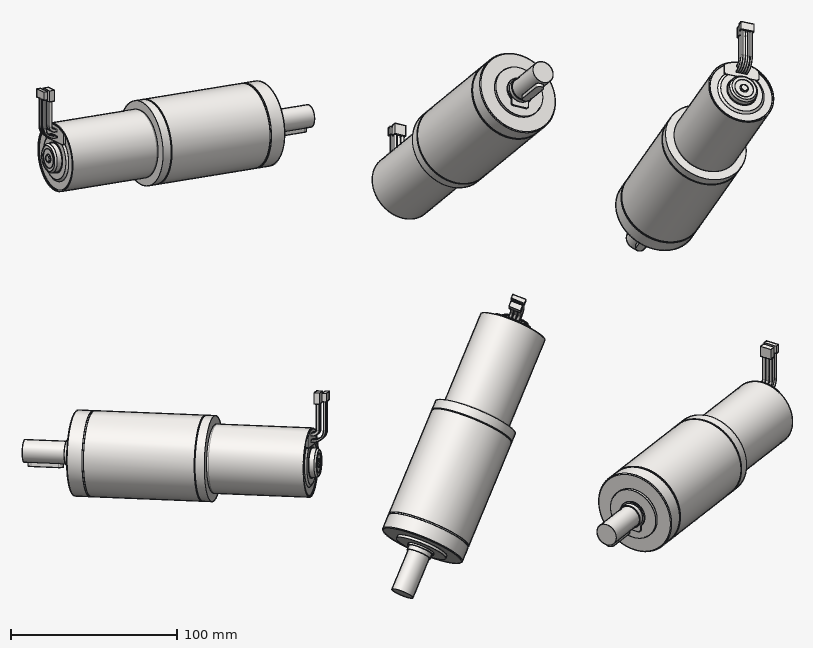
import cadquery as cq

OVERALL_LENGTH = 187.2

GEARHEAD_RADIUS = 26.0
GEARHEAD_LENGTH = 85.2
GEARHEAD_CHAMFER = 0.5
GROOVE_DEPTH = 0.2
FRONT_GROOVE_CENTRE = 75.0
REAR_GROOVE_CENTRE = 6.0
FRONT_GROOVE_WIDTH = 1.0
REAR_GROOVE_WIDTH = 0.5
BOSS_RADIUS = 16.1
BOSS_HEIGHT = 1.7
BOSS_END = GEARHEAD_LENGTH + BOSS_HEIGHT

COLLAR_RADIUS = 7.5
COLLAR_END = BOSS_END + 4.0
SHAFT_RADIUS = 7.0
SHAFT_END = 116.8
CLIP_RADIUS = 8.5
CLIP_THICKNESS = 1.1
CLIP_LUG_WIDTH = 11.6
CLIP_LUG_REACH = 10.5
CLIP_LUG_CORNER = 1.5

KEY_WIDTH = 5.0
KEY_HEIGHT = 5.0
KEY_LENGTH = 21.9
KEY_SETBACK = 2.0
KEY_OUTER_FACE = -9.0
KEY_CENTRE = SHAFT_END - KEY_SETBACK - KEY_LENGTH / 2

MOTOR_RADIUS = 21.0
MOTOR_LENGTH = 59.9
MOTOR_REAR = -MOTOR_LENGTH
MOTOR_FRONT_FILLET = 1.3
RECESS_RADIUS = 20.0
RECESS_DEPTH = 0.5
RECESS_FLOOR = MOTOR_REAR + RECESS_DEPTH

CONE_BASE_RADIUS = 15.0
CONE_TOP_RADIUS = 13.5
CONE_HEIGHT = 0.5
HUB_STEP_RADIUS = 9.5
HUB_STEP_HEIGHT = 0.2
HUB_RADIUS = 9.0
HUB_HEIGHT = 5.0
HUB_CHAMFER = 1.1
HUB_RECESS_RADIUS = 6.0
HUB_RECESS_DEPTH = 0.4
STUB_RADIUS = 2.6
STUB_CHAMFER = 0.5
STUB_PROTRUSION = 0.5

PAD_WIDTH = 22.0
PAD_BOTTOM = 10.3
PAD_CORNER = 1.0
PAD_RADIUS = 20.5
PAD_STANDOUT = 0.7
PAD_FACE = MOTOR_REAR - PAD_STANDOUT
PAD_THICKNESS = RECESS_FLOOR - PAD_FACE

BEND_TOP = 20.4
PLUG_TOP = 43.5
INNER_WIRE_COUNT = 3
INNER_WIRE_DIAMETER = 1.9
INNER_WIRE_PITCH = 2.5
INNER_ROW_Y = -64.5
INNER_BEND_RADIUS = 2.8
INNER_PLUG_WIDTH = 7.5
INNER_PLUG_DEPTH = 3.5
INNER_PLUG_HEIGHT = 7.0
INNER_PLUG_Y = -64.4
OUTER_WIRE_COUNT = 5
OUTER_WIRE_DIAMETER = 1.3
OUTER_WIRE_PITCH = 1.5
OUTER_ROW_Y = -68.9
OUTER_BEND_RADIUS = 6.7
OUTER_PLUG_WIDTH = 8.6
OUTER_PLUG_DEPTH = 2.6
OUTER_PLUG_HEIGHT = 5.2
OUTER_PLUG_Y = SHAFT_END - OVERALL_LENGTH + OUTER_PLUG_DEPTH / 2


def cylinder(radius, y_start, y_end):
    """Cylinder on the Y axis between two Y positions."""
    start_plane = cq.Workplane("XZ", origin=(0, y_start, 0))
    return start_plane.circle(radius).extrude(y_start - y_end)


def ring_groove(y_centre, width):
    """Ring of material to cut from the gearhead surface."""
    y_start = y_centre - width / 2
    y_end = y_centre + width / 2
    outside = cylinder(GEARHEAD_RADIUS + 1.9, y_start, y_end)
    return outside.cut(cylinder(GEARHEAD_RADIUS - GROOVE_DEPTH, y_start, y_end))


def make_clip():
    """Retaining clip: a disc with a wide rounded lug below it."""
    clip_end = BOSS_END + CLIP_THICKNESS
    disc = cylinder(CLIP_RADIUS, BOSS_END, clip_end)
    lug = (
        cq.Workplane("XY")
        .box(CLIP_LUG_WIDTH, CLIP_THICKNESS, CLIP_LUG_REACH, centered=(True, False, False))
        .translate((0, BOSS_END, -CLIP_LUG_REACH))
        .edges("|Y and <Z")
        .fillet(CLIP_LUG_CORNER)
    )
    return disc.union(lug)


def make_key():
    """Feather key with round ends, also used to cut its own seat."""
    key_plane = cq.Workplane("XY", origin=(0, KEY_CENTRE, KEY_OUTER_FACE))
    return key_plane.slot2D(KEY_LENGTH, KEY_WIDTH, 90).extrude(KEY_HEIGHT)


def make_gearhead():
    """Gearhead housing with boss, clip and keyed output shaft."""
    housing = cylinder(GEARHEAD_RADIUS, 0, GEARHEAD_LENGTH).faces(">Y").chamfer(GEARHEAD_CHAMFER)
    housing = housing.cut(ring_groove(FRONT_GROOVE_CENTRE, FRONT_GROOVE_WIDTH))
    housing = housing.cut(ring_groove(REAR_GROOVE_CENTRE, REAR_GROOVE_WIDTH))
    boss = cylinder(BOSS_RADIUS, GEARHEAD_LENGTH, BOSS_END)
    collar = cylinder(COLLAR_RADIUS, BOSS_END, COLLAR_END)
    shaft = cylinder(SHAFT_RADIUS, COLLAR_END, SHAFT_END)
    gearhead = housing.union(boss).union(make_clip()).union(collar).union(shaft)
    return gearhead.cut(make_key())


def make_bearing_seat():
    """Turned features on the rear face of the motor."""
    cone_top = MOTOR_REAR - CONE_HEIGHT
    step_top = cone_top - HUB_STEP_HEIGHT
    hub_face = MOTOR_REAR - HUB_HEIGHT
    recess_floor = hub_face + HUB_RECESS_DEPTH
    stub_end = hub_face - STUB_PROTRUSION
    profile = [
        (0, RECESS_FLOOR),
        (CONE_BASE_RADIUS, RECESS_FLOOR),
        (CONE_TOP_RADIUS, cone_top),
        (HUB_STEP_RADIUS, cone_top),
        (HUB_STEP_RADIUS, step_top),
        (HUB_RADIUS, step_top),
        (HUB_RADIUS, hub_face + HUB_CHAMFER),
        (HUB_RADIUS - HUB_CHAMFER, hub_face),
        (HUB_RECESS_RADIUS, hub_face),
        (HUB_RECESS_RADIUS, recess_floor),
        (STUB_RADIUS, recess_floor),
        (STUB_RADIUS, stub_end + STUB_CHAMFER),
        (STUB_RADIUS - STUB_CHAMFER, stub_end),
        (0, stub_end),
    ]
    return cq.Workplane("XY").polyline(profile).close().revolve(360, (0, 0), (0, 1))


def make_cable_pad():
    """Raised pad that follows the motor rim at its top."""
    pad_height = MOTOR_RADIUS - PAD_BOTTOM
    block = (
        cq.Workplane("XY")
        .box(PAD_WIDTH, PAD_THICKNESS, pad_height, centered=(True, False, False))
        .translate((0, PAD_FACE, PAD_BOTTOM))
        .edges("|Y and <Z")
        .chamfer(PAD_CORNER)
    )
    return block.intersect(cylinder(PAD_RADIUS, PAD_FACE, RECESS_FLOOR))


def make_wire(x, diameter, row_y, bend_radius, top):
    """One wire leaving the motor along -Y and bending up to its plug."""
    exit_height = BEND_TOP - bend_radius
    path = (
        cq.Workplane("YZ", origin=(x, 0, 0))
        .moveTo(MOTOR_REAR, exit_height)
        .lineTo(row_y + bend_radius, exit_height)
        .tangentArcPoint((row_y, BEND_TOP), relative=False)
        .lineTo(row_y, top)
    )
    section = cq.Workplane("XZ", origin=(x, MOTOR_REAR, exit_height)).circle(diameter / 2)
    return section.sweep(path)


def make_wire_row(count, diameter, pitch, row_y, bend_radius, top):
    """Equal parallel wires, centred on X = 0."""
    row = cq.Workplane("XY")
    for index in range(count):
        x = (index - (count - 1) / 2) * pitch
        row = row.add(make_wire(x, diameter, row_y, bend_radius, top))
    return row


def make_plug(width, depth, height, y_centre):
    """Rectangular plug on the upper end of a row of wires."""
    plug = cq.Workplane("XY").box(width, depth, height)
    return plug.translate((0, y_centre, PLUG_TOP - height / 2))


def make_inner_cable():
    """Thick wires and deep plug nearer the motor."""
    plug = make_plug(INNER_PLUG_WIDTH, INNER_PLUG_DEPTH, INNER_PLUG_HEIGHT, INNER_PLUG_Y)
    wires = make_wire_row(
        INNER_WIRE_COUNT,
        INNER_WIRE_DIAMETER,
        INNER_WIRE_PITCH,
        INNER_ROW_Y,
        INNER_BEND_RADIUS,
        PLUG_TOP - INNER_PLUG_HEIGHT,
    )
    return plug.union(wires)


def make_outer_cable():
    """Thin wires and flat plug further from the motor."""
    plug = make_plug(OUTER_PLUG_WIDTH, OUTER_PLUG_DEPTH, OUTER_PLUG_HEIGHT, OUTER_PLUG_Y)
    wires = make_wire_row(
        OUTER_WIRE_COUNT,
        OUTER_WIRE_DIAMETER,
        OUTER_WIRE_PITCH,
        OUTER_ROW_Y,
        OUTER_BEND_RADIUS,
        PLUG_TOP - OUTER_PLUG_HEIGHT,
    )
    return plug.union(wires)


def make_motor():
    """Motor can with its bearing seat, cable pad and both cables."""
    can = cylinder(MOTOR_RADIUS, MOTOR_REAR, 0)
    can = can.faces(">Y").edges().fillet(MOTOR_FRONT_FILLET)
    can = can.cut(cylinder(RECESS_RADIUS, MOTOR_REAR, RECESS_FLOOR))
    motor = can.union(make_bearing_seat()).union(make_cable_pad())
    return motor.union(make_inner_cable()).union(make_outer_cable())


gearhead = make_gearhead()
key = make_key()
motor = make_motor()

result = cq.Compound.makeCompound([gearhead.val(), key.val(), motor.val()])